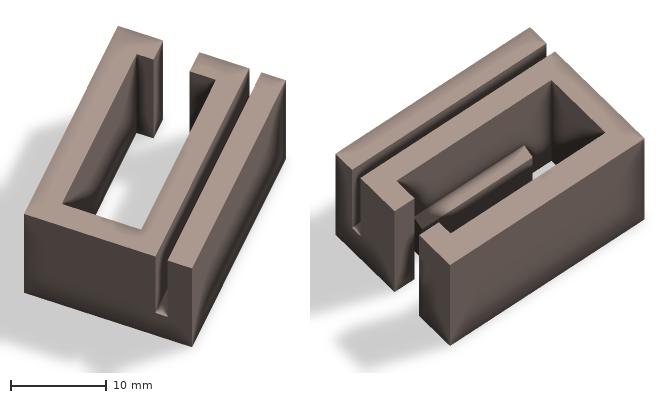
import cadquery as cq

width = 19.0
length = 26.4
height = 14.0

side_wall = 3.2
end_wall = 2.7
cavity_width = 8.98
cavity_right = side_wall + cavity_width

opening_left = 5.12
opening_width = 4.07

slot_width = 1.37
arm_thickness = 2.77
slot_depth = 10.0

catch_start = 6.4
catch_length = 15.0
catch_reach = 1.43
catch_top = 5.8
catch_drop = 0.69


def box(x, y, z, size_x, size_y, size_z):
    """Box with its lowest corner at (x, y, z)."""
    return cq.Workplane("XY").box(size_x, size_y, size_z, centered=False).translate((x, y, z))


body = box(0, 0, 0, width, length, height)

cavity = box(side_wall, end_wall, 0, cavity_width, length - 2 * end_wall, height)

opening = box(opening_left, length - end_wall, 0, opening_width, end_wall, height)

slot_left = width - arm_thickness - slot_width
slot = box(slot_left, 0, height - slot_depth, slot_width, length, slot_depth)

catch_tip = cavity_right - catch_reach
catch = (
    cq.Workplane("XZ", origin=(0, catch_start, 0))
    .moveTo(cavity_right, 0)
    .lineTo(cavity_right, catch_top)
    .lineTo(catch_tip, catch_top - catch_drop)
    .lineTo(catch_tip, 0)
    .close()
    .extrude(-catch_length)
)

result = body.cut(cavity).cut(opening).cut(slot).union(catch)